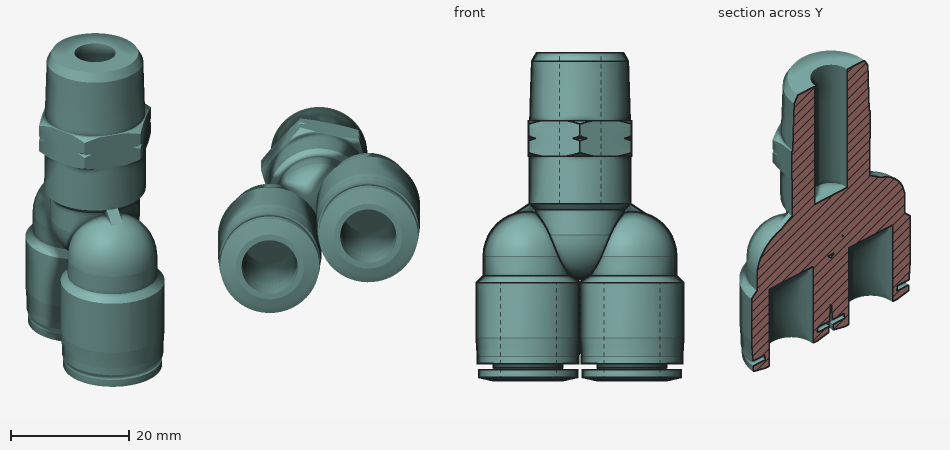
import cadquery as cq
import math

total_height = 55.6
overall_length = 35.17
body_diameter = 17.6
port_offset = (overall_length - body_diameter) / 2
port_positions = (-port_offset, port_offset)

thread_base_diameter = 17.0
thread_taper = 1 / 16
thread_tip_diameter = 14.7
thread_tip_length = 1.5
bore_diameter = 7.0

hex_across_corners = 20.16
hex_bottom_z = 38.05
hex_top_z = 44.1
hex_bevel_diameter = 18.06
hex_bevel_drop = (hex_across_corners - hex_bevel_diameter) / 2 * math.tan(math.pi / 6)
hex_groove_depth = 0.6
hex_groove_half_width = 0.4

collar_diameter = 17.2
collar_bottom_z = 30.0
bore_floor_z = collar_bottom_z
stem_diameter = 15.2
stem_dome_z = 24.75

elbow_diameter = stem_diameter
elbow_centre_z = 21.1
shoulder_bottom_z = 16.6
body_taper_z = 7.3
rim_diameter = 17.2
rim_top_z = 4.2
rim_bottom_z = 2.9

mouth_ring_diameter = 11.8
mouth_ring_bottom_z = 2.25
sleeve_neck_diameter = 11.53
sleeve_flange_diameter = 16.8
sleeve_flange_top_z = 1.9
sleeve_flange_bottom_z = 0.6
sleeve_face_diameter = sleeve_neck_diameter
tube_diameter = 9.53
socket_depth = shoulder_bottom_z

rib_width = 2.0
rib_outer_x = 11.05


def revolve(profile):
    """Turn a half profile of (radius, z) points about the Z axis."""
    return profile.close().revolve(360, (0, 0, 0), (0, 1, 0))


def make_stem():
    collar_radius = collar_diameter / 2
    stem_radius = stem_diameter / 2
    dome_mid = stem_radius * math.sqrt(0.5)
    neck_top_z = collar_bottom_z - (collar_radius - stem_radius)
    thread_shoulder_z = total_height - thread_tip_length
    thread_end_diameter = thread_base_diameter - thread_taper * (thread_shoulder_z - hex_top_z)
    profile = (
        cq.Workplane("XZ")
        .moveTo(0, stem_dome_z - stem_radius)
        .threePointArc((dome_mid, stem_dome_z - dome_mid), (stem_radius, stem_dome_z))
        .lineTo(stem_radius, neck_top_z)
        .lineTo(collar_radius, collar_bottom_z)
        .lineTo(collar_radius, hex_bottom_z)
        .lineTo(thread_base_diameter / 2, hex_top_z)
        .lineTo(thread_end_diameter / 2, thread_shoulder_z)
        .lineTo(thread_tip_diameter / 2, total_height)
        .lineTo(0, total_height)
    )
    return revolve(profile)


def make_hexagon():
    corner_radius = hex_across_corners / 2
    bevel_radius = hex_bevel_diameter / 2
    groove_z = (hex_bottom_z + hex_top_z) / 2
    prism = (
        cq.Workplane("XY")
        .workplane(offset=hex_bottom_z)
        .polygon(6, hex_across_corners)
        .extrude(hex_top_z - hex_bottom_z)
        .rotate((0, 0, 0), (0, 0, 1), 30)
    )
    envelope = (
        cq.Workplane("XZ")
        .moveTo(0, hex_bottom_z)
        .lineTo(bevel_radius, hex_bottom_z)
        .lineTo(corner_radius, hex_bottom_z + hex_bevel_drop)
        .lineTo(corner_radius, groove_z - hex_groove_half_width)
        .lineTo(corner_radius - hex_groove_depth, groove_z)
        .lineTo(corner_radius, groove_z + hex_groove_half_width)
        .lineTo(corner_radius, hex_top_z - hex_bevel_drop)
        .lineTo(bevel_radius, hex_top_z)
        .lineTo(0, hex_top_z)
    )
    return prism.intersect(revolve(envelope))


def make_port():
    """One elbow, port body and release sleeve, standing on the Z axis."""
    elbow_radius = elbow_diameter / 2
    body_radius = body_diameter / 2
    dome_mid = elbow_radius * math.sqrt(0.5)
    shoulder_top_z = shoulder_bottom_z + (body_radius - elbow_radius)
    profile = (
        cq.Workplane("XZ")
        .moveTo(0, 0)
        .lineTo(sleeve_face_diameter / 2, 0)
        .lineTo(sleeve_flange_diameter / 2, sleeve_flange_bottom_z)
        .lineTo(sleeve_flange_diameter / 2, sleeve_flange_top_z)
        .lineTo(sleeve_neck_diameter / 2, sleeve_flange_top_z)
        .lineTo(sleeve_neck_diameter / 2, mouth_ring_bottom_z)
        .lineTo(mouth_ring_diameter / 2, mouth_ring_bottom_z)
        .lineTo(mouth_ring_diameter / 2, rim_bottom_z)
        .lineTo(rim_diameter / 2, rim_bottom_z)
        .lineTo(rim_diameter / 2, rim_top_z)
        .lineTo(body_radius, body_taper_z)
        .lineTo(body_radius, shoulder_bottom_z)
        .lineTo(elbow_radius, shoulder_top_z)
        .lineTo(elbow_radius, elbow_centre_z)
        .threePointArc((dome_mid, elbow_centre_z + dome_mid), (0, elbow_centre_z + elbow_radius))
    )
    return revolve(profile)


def make_ribs():
    """Sloping ribs running from the collar edge down onto both elbows."""
    collar_radius = collar_diameter / 2
    elbow_radius = elbow_diameter / 2
    outer_z = elbow_centre_z + math.sqrt(elbow_radius**2 - (rib_outer_x - port_offset) ** 2)
    return (
        cq.Workplane("XZ")
        .moveTo(-collar_radius, collar_bottom_z)
        .lineTo(collar_radius, collar_bottom_z)
        .lineTo(rib_outer_x, outer_z)
        .lineTo(port_offset, elbow_centre_z)
        .lineTo(-port_offset, elbow_centre_z)
        .lineTo(-rib_outer_x, outer_z)
        .close()
        .extrude(rib_width / 2, both=True)
    )


def make_socket():
    return cq.Workplane("XY").circle(tube_diameter / 2).extrude(socket_depth)


def make_bore():
    return (
        cq.Workplane("XY")
        .workplane(offset=bore_floor_z)
        .circle(bore_diameter / 2)
        .extrude(total_height - bore_floor_z)
    )


result = make_stem().union(make_hexagon()).union(make_ribs())
for port_x in port_positions:
    result = result.union(make_port().translate((port_x, 0, 0)))
for port_x in port_positions:
    result = result.cut(make_socket().translate((port_x, 0, 0)))
result = result.cut(make_bore())